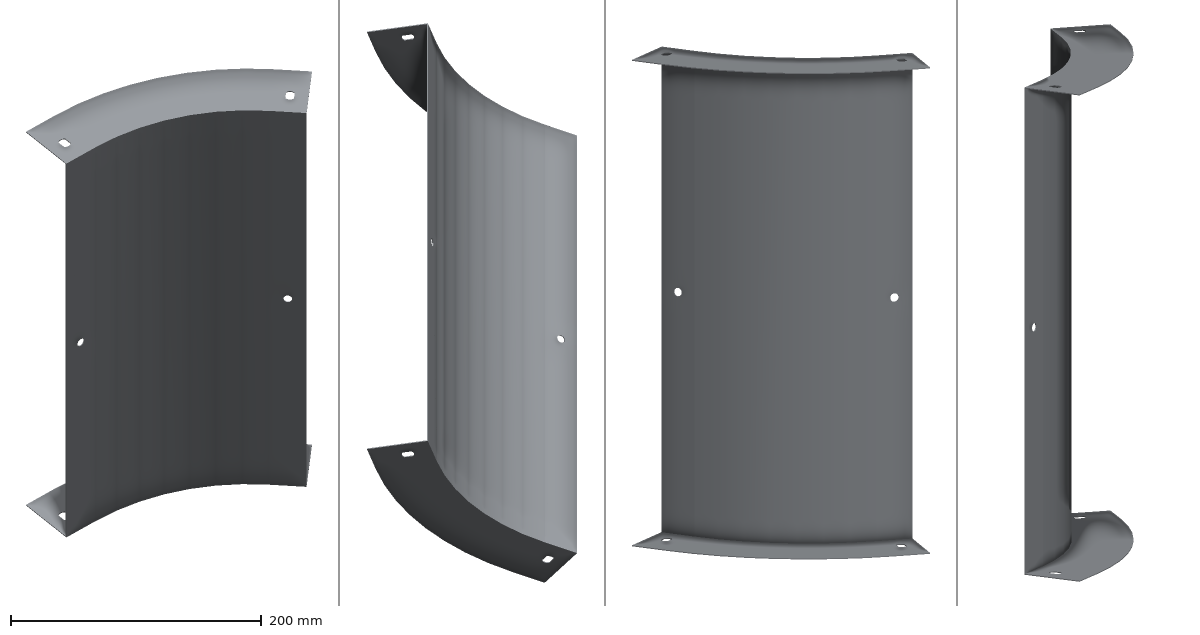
import cadquery as cq
import math

height = 400.0
sheet_thickness = 0.8
flange_width = 50.0
bend_angle = 45.0
inner_radius = 190.0
straight_length = 30.05

hole_diameter = 7.0
slot_length = 10.0
slot_width = 7.0
hole_end_distance = 15.0
slot_web_distance = 20.0

outer_radius = inner_radius + flange_width
half_height = height / 2
bend_center_x = outer_radius
bend_center_y = straight_length


def plan_point(radius, angle, past_bend=0.0):
    """Plan position on the bend, optionally moved along the tangent beyond it."""
    turn = math.radians(angle)
    x = bend_center_x - radius * math.cos(turn) + past_bend * math.sin(turn)
    y = bend_center_y + radius * math.sin(turn) + past_bend * math.cos(turn)
    return x, y


def curved_strip(near_radius, far_radius, bottom, thickness):
    """Straight-arc-straight strip between two concentric radii."""
    return (
        cq.Workplane("XY", origin=(0, 0, bottom))
        .moveTo(*plan_point(far_radius, 0, -straight_length))
        .lineTo(*plan_point(far_radius, 0))
        .threePointArc(plan_point(far_radius, bend_angle / 2), plan_point(far_radius, bend_angle))
        .lineTo(*plan_point(far_radius, bend_angle, straight_length))
        .lineTo(*plan_point(near_radius, bend_angle, straight_length))
        .lineTo(*plan_point(near_radius, bend_angle))
        .threePointArc(plan_point(near_radius, bend_angle / 2), plan_point(near_radius, 0))
        .lineTo(*plan_point(near_radius, 0, -straight_length))
        .close()
        .extrude(thickness)
    )


def flange_slot(x, y, angle):
    """Opening through both flanges: a round hole flattened on two sides, long across the channel."""
    half_width = slot_width / 2
    half_length = slot_length / 2
    half_flat = math.sqrt(half_length**2 - half_width**2)
    return (
        cq.Workplane("XY")
        .moveTo(-half_flat, -half_width)
        .lineTo(half_flat, -half_width)
        .threePointArc((half_length, 0), (half_flat, half_width))
        .lineTo(-half_flat, half_width)
        .threePointArc((-half_length, 0), (-half_flat, -half_width))
        .close()
        .extrude(half_height, both=True)
        .rotate((0, 0, 0), (0, 0, 1), -angle)
        .translate((x, y, 0))
    )


def web_hole(x, y, angle):
    """Round hole through the web at mid-height, square to its face."""
    turn = math.radians(angle)
    across = cq.Vector(math.cos(turn), -math.sin(turn), 0)
    start = cq.Vector(x, y, 0) - across * flange_width / 2
    return cq.Workplane(cq.Solid.makeCylinder(hole_diameter / 2, flange_width, start, across))


web = curved_strip(inner_radius, inner_radius + sheet_thickness, -half_height, height)
bottom_flange = curved_strip(inner_radius, outer_radius, -half_height, sheet_thickness)
top_flange = curved_strip(inner_radius, outer_radius, half_height - sheet_thickness, sheet_thickness)
result = web.union(bottom_flange).union(top_flange)

end_offset = straight_length - hole_end_distance
for angle, past_bend in ((0.0, -end_offset), (bend_angle, end_offset)):
    slot_x, slot_y = plan_point(inner_radius + slot_web_distance, angle, past_bend)
    hole_x, hole_y = plan_point(inner_radius, angle, past_bend)
    result = result.cut(flange_slot(slot_x, slot_y, angle))
    result = result.cut(web_hole(hole_x, hole_y, angle))